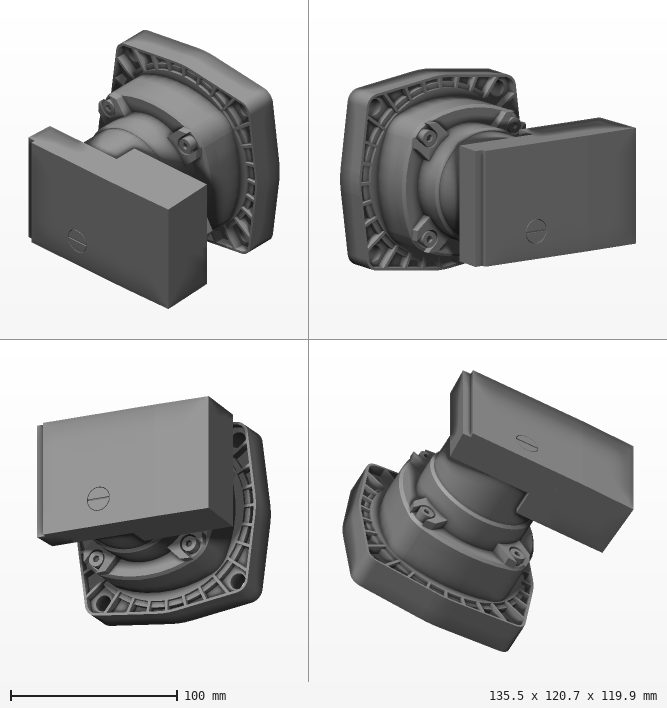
import cadquery as cq
import math


CUT_OVERRUN = 1.4

FLANGE_FRONT_Y = -20.3
LANTERN_FRONT_Y = -37.1
MOTOR_PLATE_FRONT_Y = -47.3
NECK_FRONT_Y = -67.2
BOX_REAR_Y = -96.2
BOX_RAISED_REAR_Y = -80.5
STEP_Y = -114.3
BOX_FRONT_Y = -117.3

FLANGE_HALF_SIDE = 119.9 / 2
SIDE_BULGE_RADIUS = 54.2
BOLT_OFFSET = 45.0
CORNER_CENTRE = 46.0
CORNER_RADIUS = 8.4
BOLT_HOLE_RADIUS = 5.0
RIM_THICKNESS = 1.6
POCKET_INNER_RADIUS = 51.9
POCKET_LEDGE_RADIUS = 55.1
LEDGE_DEPTH = 2.0
POCKET_DEPTH = 6.1
RIB_THICKNESS = 1.8
RIB_PITCH = 12.5
RIBS_EACH_SIDE_OF_AXIS = 3

SPIGOT_RADIUS = 55.0
SPIGOT_HEIGHT = 1.0
PORT_RADIUS = 12.5
PORT_REAR_Y = 3.4
PORT_SPACING = 37.8

BODY_HALF_SIDE = 46.3
BODY_CORNER_NEAR = 30.3
BODY_CORNER_FAR = 40.0
BODY_CORNER_REACH = 51.0
PLATE_CHAMFER = 1.8

NECK_RADIUS = 35.9
NECK_CHAMFER = 1.6
BARREL_RADIUS = 34.0

PAD_HALF_WIDTH = 10.3
PAD_END = 39.7
PAD_HEIGHT_INNER = 6.5
PAD_HEIGHT_OUTER = 4.9
PAD_SLOPE_START = 35.9
PAD_SLOPE_END = 48.8
SCREW_DISTANCE = 43.9
SCREW_SLOT_HALF_WIDTH = 5.8
SCREW_HEAD_RADIUS = 4.7
SCREW_HEAD_HEIGHT = 5.5
SOCKET_ACROSS_CORNERS = 4.6
SOCKET_DEPTH = 2.7

BOX_HALF_HEIGHT = 35.6
BOX_LEFT_REAR_X = -39.1
BOX_LEFT_FRONT_X = -40.2
BOX_RIGHT_REAR_X = 74.0
BOX_RIGHT_FRONT_X = 135.5 - FLANGE_HALF_SIDE
BOX_RIGHT_FRONT_Y = -116.5
BOX_SLOPE_START_X = 40.1
BOX_RAISED_X = 15.0
STEP_X = -35.0
SPLIT_LEFT_Y = -103.5
SPLIT_LOWEST_X = 32.5
SPLIT_LOWEST_Y = -106.2
SPLIT_RIGHT_Y = -105.2

GLAND_X = 63.8
GLAND_ACROSS_CORNERS = 20.0
GLAND_HEIGHT = 5.3

LID_LEFT_X = -33.3
LID_RIGHT_X = 17.2
LID_HALF_HEIGHT = 33.6
LID_THICKNESS = 2.7
LID_SCREW_X = 2.2
LID_SCREW_Z = -18.5
LID_SCREW_RADIUS = 7.2
LID_SCREW_HOLE_RADIUS = 7.6
LID_SCREW_SLOT_WIDTH = 1.1
LID_SCREW_SLOT_DEPTH = 0.8

DIAGONAL_ANGLES = (45, 135, 225, 315)


def plane_at(y, x=0.0, z=0.0):
    """Workplane facing -Y: its local axes are X and Z, and extrusions run towards -Y."""
    return cq.Workplane("XZ", origin=(x, y, z))


def cylinder(radius, rear_y, front_y, x=0.0, z=0.0):
    return plane_at(rear_y, x, z).circle(radius).extrude(rear_y - front_y)


def quarter_turns(point, turns):
    x, z = point
    for _ in range(turns):
        x, z = -z, x
    return (x, z)


def bowed_square(y, side_middle, side_end, corner_start, corner_middle):
    """Square with bowed sides and rounded corners.

    The heights of side_middle and the points side_end and corner_start are on the right half of
    the top side. A straight run joins side_end to corner_start unless they are the same point.
    """
    has_straight_run = side_end != corner_start
    outline = plane_at(y).moveTo(*side_end)
    for turn in range(4):
        side_far_end = (-side_end[0], side_end[1])
        corner_near = (-corner_start[0], corner_start[1])
        corner_far = (-corner_start[1], corner_start[0])
        corner_peak = (-corner_middle, corner_middle)
        outline = outline.threePointArc(
            quarter_turns((0, side_middle), turn), quarter_turns(side_far_end, turn)
        )
        if has_straight_run:
            outline = outline.lineTo(*quarter_turns(corner_near, turn))
        outline = outline.threePointArc(
            quarter_turns(corner_peak, turn), quarter_turns(corner_far, turn)
        )
        if has_straight_run:
            outline = outline.lineTo(*quarter_turns(side_end, turn + 1))
    return outline.close()


def flange_outline(y, inset=0.0):
    """Flange outline, whose straight runs are tangent to the side and corner arcs."""
    bulge_radius = SIDE_BULGE_RADIUS - inset
    corner_radius = CORNER_RADIUS - inset
    bulge_centre = FLANGE_HALF_SIDE - SIDE_BULGE_RADIUS
    rise = CORNER_CENTRE - bulge_centre
    centre_distance = math.hypot(CORNER_CENTRE, rise)
    tilt = math.atan2(CORNER_CENTRE, rise) - math.acos((bulge_radius - corner_radius) / centre_distance)
    normal_x = math.sin(tilt)
    normal_z = math.cos(tilt)
    return bowed_square(
        y,
        side_middle=FLANGE_HALF_SIDE - inset,
        side_end=(bulge_radius * normal_x, bulge_centre + bulge_radius * normal_z),
        corner_start=(CORNER_CENTRE + corner_radius * normal_x, CORNER_CENTRE + corner_radius * normal_z),
        corner_middle=CORNER_CENTRE + corner_radius / math.sqrt(2),
    )


def body_prism(rear_y, front_y):
    corner_start = (BODY_CORNER_NEAR, BODY_CORNER_FAR)
    outline = bowed_square(
        rear_y, BODY_HALF_SIDE, corner_start, corner_start, BODY_CORNER_REACH / math.sqrt(2)
    )
    return outline.extrude(rear_y - front_y)




def flange_ribs():
    """Radial ribs on both sides of each axis, plus one rib on each axis."""
    ribs = cq.Workplane("XZ")
    rib_length = 2 * FLANGE_HALF_SIDE
    rib = plane_at(FLANGE_FRONT_Y + POCKET_DEPTH, rib_length / 2).rect(rib_length, RIB_THICKNESS)
    rib = rib.extrude(POCKET_DEPTH)
    for axis_angle in (0, 90, 180, 270):
        for step in range(-RIBS_EACH_SIDE_OF_AXIS, RIBS_EACH_SIDE_OF_AXIS + 1):
            angle = axis_angle + step * RIB_PITCH
            ribs = ribs.add(rib.rotate((0, 0, 0), (0, 1, 0), angle))
    return ribs


def flange_pockets():
    """Ring of pockets inside the rim, with a shallow ledge along the inner side."""
    pockets = None
    for depth, inner_radius in ((LEDGE_DEPTH, POCKET_INNER_RADIUS), (POCKET_DEPTH, POCKET_LEDGE_RADIUS)):
        floor_y = FLANGE_FRONT_Y + depth
        ring = flange_outline(floor_y, RIM_THICKNESS).extrude(depth)
        ring = ring.cut(cylinder(inner_radius, floor_y, FLANGE_FRONT_Y))
        pockets = ring if pockets is None else pockets.union(ring)
    for rib in flange_ribs().vals():
        pockets = pockets.cut(cq.Workplane(rib))
    return pockets


def make_housing():
    housing = flange_outline(0).extrude(-FLANGE_FRONT_Y).cut(flange_pockets())
    for x in (-BOLT_OFFSET, BOLT_OFFSET):
        for z in (-BOLT_OFFSET, BOLT_OFFSET):
            housing = housing.cut(cylinder(BOLT_HOLE_RADIUS, CUT_OVERRUN, FLANGE_FRONT_Y - CUT_OVERRUN, x, z))
    housing = housing.union(body_prism(FLANGE_FRONT_Y, LANTERN_FRONT_Y))
    housing = housing.union(cylinder(SPIGOT_RADIUS, SPIGOT_HEIGHT, 0))
    for port_x in (0, PORT_SPACING):
        housing = housing.union(cylinder(PORT_RADIUS, PORT_REAR_Y, SPIGOT_HEIGHT, port_x))
    return housing




def screw_pad():
    """Pad on the +X +Z diagonal: square outer end and sloping front."""
    side_shift = PAD_HALF_WIDTH * math.sqrt(2)
    pad = (
        plane_at(MOTOR_PLATE_FRONT_Y)
        .polyline(
            [
                (0, side_shift),
                (PAD_END - side_shift, PAD_END),
                (PAD_END, PAD_END),
                (PAD_END, PAD_END - side_shift),
                (side_shift, 0),
            ]
        )
        .close()
        .extrude(PAD_HEIGHT_INNER)
    )
    slope = (PAD_HEIGHT_INNER - PAD_HEIGHT_OUTER) / (PAD_SLOPE_END - PAD_SLOPE_START)
    far_end = 2 * PAD_SLOPE_END
    front_at_far_end = PAD_HEIGHT_INNER - slope * (far_end - PAD_SLOPE_START)
    above_slope = (
        cq.Workplane("XY", origin=(0, MOTOR_PLATE_FRONT_Y, -PAD_END))
        .polyline(
            [
                (PAD_SLOPE_START, -PAD_HEIGHT_INNER),
                (far_end, -front_at_far_end),
                (far_end, -PAD_HEIGHT_INNER - CUT_OVERRUN),
                (PAD_SLOPE_START, -PAD_HEIGHT_INNER - CUT_OVERRUN),
            ]
        )
        .close()
        .extrude(2 * PAD_END)
        .rotate((0, 0, 0), (0, 1, 0), -45)
    )
    return pad.cut(above_slope)


def screw_recess():
    """Round-ended slot on the +X axis, open outwards, whose floor is the motor plate's front."""
    length = PAD_SLOPE_END
    recess = cylinder(
        SCREW_SLOT_HALF_WIDTH, MOTOR_PLATE_FRONT_Y, MOTOR_PLATE_FRONT_Y - PAD_HEIGHT_INNER, SCREW_DISTANCE
    )
    slot = (
        plane_at(MOTOR_PLATE_FRONT_Y, SCREW_DISTANCE + length / 2)
        .rect(length, 2 * SCREW_SLOT_HALF_WIDTH)
        .extrude(PAD_HEIGHT_INNER)
    )
    return recess.union(slot)


def make_motor():
    plate = body_prism(LANTERN_FRONT_Y, MOTOR_PLATE_FRONT_Y).faces("<Y").chamfer(PLATE_CHAMFER)
    neck = cylinder(NECK_RADIUS, MOTOR_PLATE_FRONT_Y, NECK_FRONT_Y).faces("<Y").chamfer(NECK_CHAMFER)
    motor = plate.union(neck)
    pad = screw_pad()
    recess = screw_recess()
    for angle in DIAGONAL_ANGLES:
        motor = motor.union(pad.rotate((0, 0, 0), (0, 1, 0), angle - 45))
    for angle in DIAGONAL_ANGLES:
        motor = motor.cut(recess.rotate((0, 0, 0), (0, 1, 0), angle))
    return motor.union(cylinder(BARREL_RADIUS, NECK_FRONT_Y, BOX_REAR_Y))




def make_screw(angle):
    front_y = MOTOR_PLATE_FRONT_Y - SCREW_HEAD_HEIGHT
    head = cylinder(SCREW_HEAD_RADIUS, MOTOR_PLATE_FRONT_Y, front_y, SCREW_DISTANCE)
    socket = plane_at(front_y + SOCKET_DEPTH, SCREW_DISTANCE).polygon(6, SOCKET_ACROSS_CORNERS)
    head = head.cut(socket.extrude(SOCKET_DEPTH))
    return head.rotate((0, 0, 0), (0, 1, 0), angle)




def box_prism(outline):
    return outline.close().extrude(BOX_HALF_HEIGHT, both=True)


def box_blank():
    """Whole box, base and cover together, seen along Z: slanted ends and a sloping front end."""
    return box_prism(
        cq.Workplane("XY").polyline(
            [
                (BOX_LEFT_REAR_X, BOX_REAR_Y),
                (BOX_LEFT_FRONT_X, STEP_Y),
                (STEP_X, STEP_Y),
                (STEP_X, BOX_FRONT_Y),
                (BOX_SLOPE_START_X, BOX_FRONT_Y),
                (BOX_RIGHT_FRONT_X, BOX_RIGHT_FRONT_Y),
                (BOX_RIGHT_REAR_X, BOX_RAISED_REAR_Y),
                (BOX_RAISED_X, BOX_RAISED_REAR_Y),
                (BOX_RAISED_X, BOX_REAR_Y),
            ]
        )
    )


def cover_side():
    """Everything in front of the curved parting surface between base and cover."""
    front_y = BOX_FRONT_Y - CUT_OVERRUN
    return box_prism(
        cq.Workplane("XY")
        .moveTo(BOX_LEFT_FRONT_X, SPLIT_LEFT_Y)
        .threePointArc((SPLIT_LOWEST_X, SPLIT_LOWEST_Y), (BOX_RIGHT_FRONT_X, SPLIT_RIGHT_Y))
        .lineTo(BOX_RIGHT_FRONT_X, front_y)
        .lineTo(BOX_LEFT_FRONT_X, front_y)
    )


def make_box_base():
    base = box_blank().cut(cover_side())
    base = base.cut(cylinder(BARREL_RADIUS, NECK_FRONT_Y, BOX_REAR_Y))
    gland = plane_at(BOX_RAISED_REAR_Y + GLAND_HEIGHT, GLAND_X).polygon(6, GLAND_ACROSS_CORNERS)
    return base.union(gland.extrude(GLAND_HEIGHT))


def lid_blank():
    width = LID_RIGHT_X - LID_LEFT_X
    lid = plane_at(BOX_FRONT_Y + LID_THICKNESS, LID_LEFT_X + width / 2).rect(width, 2 * LID_HALF_HEIGHT)
    return lid.extrude(LID_THICKNESS)


def make_box_cover():
    return box_blank().intersect(cover_side()).cut(lid_blank())


def make_lid():
    hole = cylinder(LID_SCREW_HOLE_RADIUS, BOX_FRONT_Y + LID_THICKNESS, BOX_FRONT_Y, LID_SCREW_X, LID_SCREW_Z)
    return lid_blank().cut(hole)


def make_lid_screw():
    """Slotted screw head, flush with the lid and standing on the cover inside the lid's hole."""
    head = cylinder(LID_SCREW_RADIUS, BOX_FRONT_Y + LID_THICKNESS, BOX_FRONT_Y, LID_SCREW_X, LID_SCREW_Z)
    slot = plane_at(BOX_FRONT_Y + LID_SCREW_SLOT_DEPTH, LID_SCREW_X, LID_SCREW_Z).rect(
        2 * LID_SCREW_HOLE_RADIUS, LID_SCREW_SLOT_WIDTH
    )
    return head.cut(slot.extrude(LID_SCREW_SLOT_DEPTH))


housing = make_housing()
motor = make_motor()
screws = [make_screw(angle).val() for angle in DIAGONAL_ANGLES]
box_base = make_box_base()
box_cover = make_box_cover()
lid = make_lid()
lid_screw = make_lid_screw()

result = cq.Compound.makeCompound(
    [
        housing.val(),
        motor.val(),
        *screws,
        box_base.val(),
        box_cover.val(),
        lid.val(),
        lid_screw.val(),
    ]
)